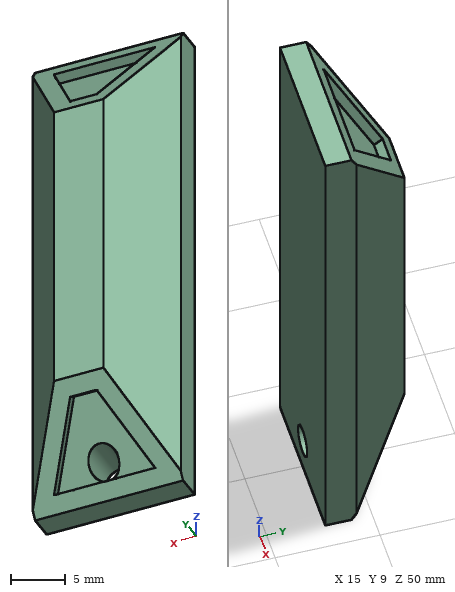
import cadquery as cq
import math

width = 15.0
depth = 9.0
height = 50.0

side_depth = 3.0
ridge_width = 5.0
end_depth = 2.5
end_slope_height = 10.0

recess_margin = 1.8
recess_depth = 1.0

hole_diameter = 3.0
hole_height = 3.55

slope_run = depth - end_depth
slope_length = math.hypot(slope_run, end_slope_height)
side_taper = (width - ridge_width) / 2 / (depth - side_depth) * slope_run / slope_length


def make_body():
    cross_section = [
        (-width / 2, 0),
        (width / 2, 0),
        (width / 2, side_depth),
        (ridge_width / 2, depth),
        (-ridge_width / 2, depth),
        (-width / 2, side_depth),
    ]
    side_profile = [
        (0, 0),
        (end_depth, 0),
        (depth, end_slope_height),
        (depth, height - end_slope_height),
        (end_depth, height),
        (0, height),
    ]
    bar = cq.Workplane("XY").polyline(cross_section).close().extrude(height)
    envelope = cq.Workplane("YZ").polyline(side_profile).close().extrude(width / 2, both=True)
    return bar.intersect(envelope)


def recess_half_width(distance):
    """Half width of the recess at a distance down the slope from the ridge."""
    side_inset = recess_margin * math.hypot(1, side_taper)
    return ridge_width / 2 + side_taper * distance - side_inset


def make_top_recess():
    slope_plane = cq.Plane(
        origin=(0, depth, height - end_slope_height),
        xDir=(-1, 0, 0),
        normal=(0, end_slope_height, slope_run),
    )
    near = recess_margin
    far = slope_length - recess_margin
    near_half = recess_half_width(near)
    far_half = recess_half_width(far)
    outline = [(-near_half, near), (near_half, near), (far_half, far), (-far_half, far)]
    return cq.Workplane(slope_plane).polyline(outline).close().extrude(-recess_depth)


def make_hole():
    return (
        cq.Workplane("XZ")
        .center(0, hole_height)
        .circle(hole_diameter / 2)
        .extrude(-depth)
    )


top_recess = make_top_recess()
bottom_recess = top_recess.mirror("XY", (0, 0, height / 2))
result = make_body().cut(top_recess).cut(bottom_recess).cut(make_hole())